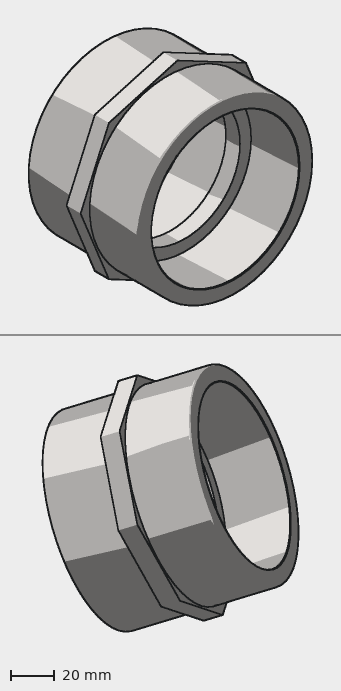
import cadquery as cq
import math

collar_size = 116.8
collar_width = 9.8
collar_sides = 8
corner_radius = 0.5
corner_trim = corner_radius * (1 / math.cos(math.pi / collar_sides) - 1)
sharp_corner_diameter = collar_size + 2 * corner_trim

body_length = 76.6
body_diameter = 106.0
end_rounding = 1.0
bore_diameter = 75.5
socket_diameter = 88.9
mouth_bevel = 0.4
bevel_angle = 45.0
socket_depth = 33.4


def make_body():
    body = cq.Workplane("YZ").circle(body_diameter / 2).extrude(body_length / 2, both=True)
    return body.faces("<X or >X").edges().fillet(end_rounding)


def make_collar():
    return (
        cq.Workplane("YZ")
        .polygon(collar_sides, sharp_corner_diameter)
        .extrude(collar_width / 2, both=True)
        .edges("|X")
        .fillet(corner_radius)
    )


def make_bore():
    return cq.Workplane("YZ").circle(bore_diameter / 2).extrude(body_length / 2, both=True)


def make_socket(side):
    """Stepped socket with a bevelled mouth at the end side * body_length / 2."""
    end_plane = cq.Plane(origin=(side * body_length / 2, 0, 0), xDir=(0, 1, 0), normal=(-side, 0, 0))
    socket = cq.Workplane(end_plane).circle(socket_diameter / 2).extrude(socket_depth)
    mouth = (
        cq.Workplane(end_plane)
        .circle(socket_diameter / 2 + mouth_bevel)
        .extrude(mouth_bevel, taper=bevel_angle)
    )
    return socket.union(mouth)


result = make_body().union(make_collar()).cut(make_bore())
for end_side in (-1, 1):
    result = result.cut(make_socket(end_side))